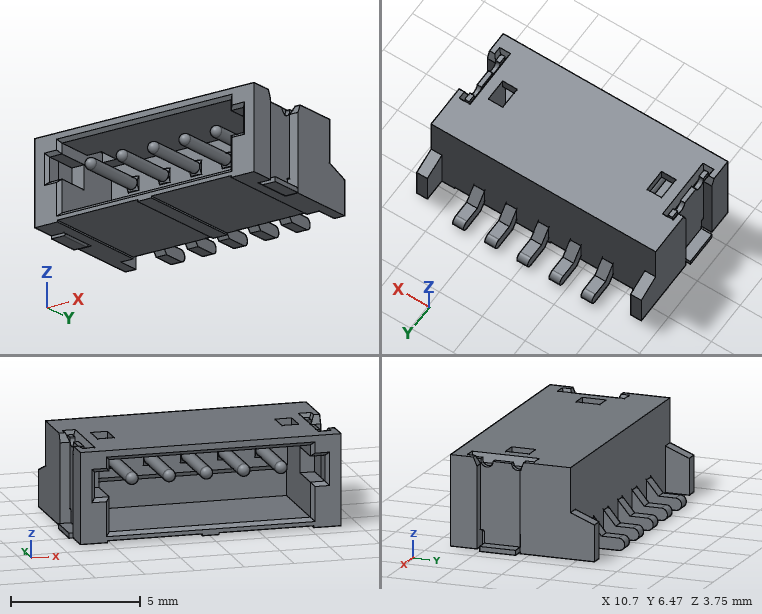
import cadquery as cq
import math


HOUSING_WIDTH = 10.5
HOUSING_TOP = 3.75
HOUSING_BOTTOM = 0.05
BODY_DEPTH = 5.0
EAR_BACK = 6.0
EAR_WIDTH = 0.5
EAR_TOP_FRONT = 1.94
EAR_TOP_BACK = 1.54
RELIEF_TOP = 0.13
RELIEF_HALF_WIDTH = 4.16
CENTER_FOOT_WIDTH = 0.66

MOUTH_CHAMFER = 0.15
CAVITY_HALF_WIDTH = 4.05
CAVITY_TOP = 3.34
CAVITY_FLOOR = 0.45
CAVITY_DEPTH = 3.43
UNDERCUT_TOP = 1.71
UNDERCUT_SLOPE_BOTTOM = 1.54
UNDERCUT_DEPTH = CAVITY_DEPTH + 0.12
KEY_HALF_WIDTH = 4.64
KEY_TOP = 2.89
KEY_BOTTOM = 1.85
KEY_DEPTH = 1.62

WINDOW_WIDTH = 0.67
WINDOW_LENGTH = 1.0
WINDOW_CENTER_Y = 2.31

TAB_TIP_X = 5.35
TAB_INNER_X = 4.65
TAB_THICKNESS = 0.2
TAB_CENTER_Y = 2.0
TAB_WIDTH = 2.5
TAB_FOOT_WIDTH = 1.5
TAB_STEP_Z = 0.73
TAB_STEP_FILLET = 0.07
TAB_SHOULDER_TOP = 3.6
TAB_CENTER_TOP = 3.53
TAB_BEND_RADIUS = 0.13
NOTCH_RADIUS = 0.252
NOTCH_OFFSET = 0.64

SLOT_NECK_WIDTH = 1.8
LEAD_IN_WIDTH = 0.15
LEAD_IN_DEPTH = 0.35

PIN_COUNT = 5
PIN_PITCH = 1.5
PIN_AXIS_Z = 2.4
PIN_TIP_Y = 0.39
PIN_NOSE_DIAMETER = 0.49
PIN_TAPER_LENGTH = 0.11
PIN_WIDTH = 0.5
PIN_SHANK_HEIGHT = 0.6
TAIL_THICKNESS = 0.5
TAIL_END_Y = 6.47
TAIL_BEND_Y = 5.5
TAIL_SLOPE = math.radians(50)


def box(x_range, y_range, z_range):
    """Axis-aligned block between the given limits."""
    ranges = (x_range, y_range, z_range)
    sizes = [high - low for low, high in ranges]
    corner = tuple(low for low, high in ranges)
    return cq.Workplane("XY").box(*sizes, centered=False).translate(corner)


def side_prism(points, x_range):
    """Closed (y, z) outline extruded along X between two limits."""
    low, high = x_range
    return cq.Workplane("YZ", origin=(low, 0, 0)).polyline(points).close().extrude(high - low)


def with_mirror(shape):
    """A cutter or rib on the +X side together with its twin on the -X side."""
    return shape.union(shape.mirror("YZ"))



def make_pin_nose(x):
    """Domed round pin that tapers out to the rectangular shank at the back wall."""
    radius = PIN_NOSE_DIAMETER / 2
    shank_corner_radius = math.hypot(PIN_WIDTH / 2, PIN_SHANK_HEIGHT / 2)
    dome_middle = radius * math.sqrt(0.5)
    dome_center_y = PIN_TIP_Y + radius
    turned = (
        cq.Workplane("XY")
        .moveTo(0, PIN_TIP_Y)
        .threePointArc((dome_middle, dome_center_y - dome_middle), (radius, dome_center_y))
        .lineTo(radius, CAVITY_DEPTH - PIN_TAPER_LENGTH)
        .lineTo(shank_corner_radius, CAVITY_DEPTH)
        .lineTo(0, CAVITY_DEPTH)
        .close()
        .revolve(360, (0, 0, 0), (0, 1, 0))
    )
    shank_section = box(
        (-PIN_WIDTH / 2, PIN_WIDTH / 2),
        (0, CAVITY_DEPTH),
        (-PIN_SHANK_HEIGHT / 2, PIN_SHANK_HEIGHT / 2),
    )
    return turned.intersect(shank_section).translate((x, 0, PIN_AXIS_Z))


def make_pin_strip(x):
    """Shank through the back wall, sloping down to a round-ended solder tail."""
    shank_top = PIN_AXIS_Z + PIN_SHANK_HEIGHT / 2
    shank_bottom = PIN_AXIS_Z - PIN_SHANK_HEIGHT / 2
    end_radius = TAIL_THICKNESS / 2
    run_per_rise = 1 / math.tan(TAIL_SLOPE)
    lower_bend_y = TAIL_BEND_Y - TAIL_THICKNESS * math.tan(TAIL_SLOPE / 2)
    return (
        cq.Workplane("YZ", origin=(x - PIN_WIDTH / 2, 0, 0))
        .moveTo(TAIL_END_Y - end_radius, 0)
        .threePointArc((TAIL_END_Y, end_radius), (TAIL_END_Y - end_radius, TAIL_THICKNESS))
        .lineTo(TAIL_BEND_Y, TAIL_THICKNESS)
        .lineTo(TAIL_BEND_Y - (shank_top - TAIL_THICKNESS) * run_per_rise, shank_top)
        .lineTo(CAVITY_DEPTH, shank_top)
        .lineTo(CAVITY_DEPTH, shank_bottom)
        .lineTo(lower_bend_y - shank_bottom * run_per_rise, shank_bottom)
        .lineTo(lower_bend_y, 0)
        .close()
        .extrude(PIN_WIDTH)
    )


def make_pin(x):
    return make_pin_strip(x).union(make_pin_nose(x))



def make_tab_plate():
    """Upright plate with a narrower leg, centered on Y = 0."""
    half_foot = TAB_FOOT_WIDTH / 2
    half_width = TAB_WIDTH / 2
    plate_x = (TAB_INNER_X, TAB_INNER_X + TAB_THICKNESS)
    wide = box(plate_x, (-half_width, half_width), (TAB_STEP_Z, TAB_SHOULDER_TOP))
    leg = box(plate_x, (-half_foot, half_foot), (0, TAB_STEP_Z))
    near_steps = cq.selectors.BoxSelector(
        (0, -half_foot - TAB_STEP_FILLET, TAB_STEP_Z - TAB_STEP_FILLET),
        (TAB_TIP_X, half_foot + TAB_STEP_FILLET, TAB_STEP_Z + TAB_STEP_FILLET),
    )
    return wide.union(leg).edges(near_steps).edges("|X").fillet(TAB_STEP_FILLET)


def make_notches():
    """Lowered middle of the plate top and a round-bottomed notch at each end of it."""
    across = (0, TAB_TIP_X)
    half_span = NOTCH_OFFSET + NOTCH_RADIUS
    cutter = box(across, (-half_span, half_span), (TAB_CENTER_TOP, HOUSING_TOP))
    for y in (-NOTCH_OFFSET, NOTCH_OFFSET):
        cutter = cutter.union(
            cq.Workplane("YZ").center(y, TAB_CENTER_TOP).circle(NOTCH_RADIUS).extrude(TAB_TIP_X)
        )
    return cutter


def make_right_tab():
    """L-shaped tab on the +X side: upright plate and outward solder foot."""
    half_foot = TAB_FOOT_WIDTH / 2
    foot = box((TAB_INNER_X, TAB_TIP_X), (-half_foot, half_foot), (0, TAB_THICKNESS))
    tab = make_tab_plate().union(foot).cut(make_notches())
    tab = tab.edges("|Y and <X and <Z").fillet(TAB_BEND_RADIUS)
    return tab.translate((0, TAB_CENTER_Y, 0))



def make_block():
    """Main block with a sloped ear at the back of each side."""
    half = HOUSING_WIDTH / 2
    block = box((-half, half), (0, BODY_DEPTH), (HOUSING_BOTTOM, HOUSING_TOP))
    ear = side_prism(
        [
            (BODY_DEPTH, HOUSING_BOTTOM),
            (EAR_BACK, HOUSING_BOTTOM),
            (EAR_BACK, EAR_TOP_BACK),
            (BODY_DEPTH, EAR_TOP_FRONT),
        ],
        (half - EAR_WIDTH, half),
    )
    return block.union(ear).union(ear.mirror("YZ"))


def make_underside_reliefs():
    """Shallow recesses that leave the side feet and the center foot."""
    return with_mirror(
        box((CENTER_FOOT_WIDTH / 2, RELIEF_HALF_WIDTH), (0, BODY_DEPTH), (HOUSING_BOTTOM, RELIEF_TOP))
    )


def make_pocket(half_width, bottom, top, depth):
    """Rectangular pocket from the mating face with a 45 degree chamfer around its mouth."""
    height = top - bottom
    pocket = box((-half_width, half_width), (0, depth), (bottom, top))
    mouth = (
        cq.Workplane("XZ", origin=(0, 0, (top + bottom) / 2))
        .rect(2 * (half_width + MOUTH_CHAMFER), height + 2 * MOUTH_CHAMFER)
        .workplane(offset=-MOUTH_CHAMFER)
        .rect(2 * half_width, height)
        .loft(ruled=True)
    )
    return pocket.union(mouth)


def make_cavity():
    """Mating cavity with a key groove on each side and an undercut low in its back wall."""
    main = make_pocket(CAVITY_HALF_WIDTH, CAVITY_FLOOR, CAVITY_TOP, CAVITY_DEPTH)
    keys = make_pocket(KEY_HALF_WIDTH, KEY_BOTTOM, KEY_TOP, KEY_DEPTH)
    undercut = side_prism(
        [
            (CAVITY_DEPTH, CAVITY_FLOOR),
            (UNDERCUT_DEPTH, CAVITY_FLOOR),
            (UNDERCUT_DEPTH, UNDERCUT_SLOPE_BOTTOM),
            (CAVITY_DEPTH, UNDERCUT_TOP),
        ],
        (-CAVITY_HALF_WIDTH, CAVITY_HALF_WIDTH),
    )
    return main.union(keys).union(undercut)


def make_windows():
    """Rectangular openings from the roof down into the cavity."""
    half_length = WINDOW_LENGTH / 2
    return with_mirror(
        box(
            (CAVITY_HALF_WIDTH - WINDOW_WIDTH, CAVITY_HALF_WIDTH),
            (WINDOW_CENTER_Y - half_length, WINDOW_CENTER_Y + half_length),
            (CAVITY_TOP, HOUSING_TOP),
        )
    )


def t_outline(clearance):
    """T-shaped (x, y) outline, grown by clearance and open past the outer side."""
    inner = TAB_INNER_X - clearance
    lip = TAB_INNER_X + TAB_THICKNESS + clearance
    outer = TAB_TIP_X + clearance
    neck = SLOT_NECK_WIDTH / 2 + clearance
    bar = TAB_WIDTH / 2 + clearance
    half = [(outer, neck), (lip, neck), (lip, bar), (inner, bar)]
    return half + [(x, -y) for x, y in reversed(half)]


def make_tab_slots():
    """T slots down to the tab step, a plain neck below it and a tapered lead-in at the top."""
    half_neck = SLOT_NECK_WIDTH / 2
    shaft = (
        cq.Workplane("XY", origin=(0, 0, TAB_STEP_Z))
        .polyline(t_outline(0))
        .close()
        .extrude(HOUSING_TOP - TAB_STEP_Z)
    )
    neck = box((TAB_INNER_X, TAB_TIP_X), (-half_neck, half_neck), (0, TAB_STEP_Z))
    lead_in = (
        cq.Workplane("XY", origin=(0, 0, HOUSING_TOP - LEAD_IN_DEPTH))
        .polyline(t_outline(0))
        .close()
        .workplane(offset=LEAD_IN_DEPTH)
        .polyline(t_outline(LEAD_IN_WIDTH))
        .close()
        .loft(ruled=True)
    )
    slot = shaft.union(neck).union(lead_in)
    return with_mirror(slot.translate((0, TAB_CENTER_Y, 0)))


def make_housing():
    """Block with all its openings and a close-fitting passage for every pin."""
    housing = make_block().cut(make_underside_reliefs()).cut(make_cavity())
    housing = housing.cut(make_windows()).cut(make_tab_slots())
    for x in pin_positions:
        housing = housing.cut(make_pin_strip(x))
    return housing


pin_positions = [PIN_PITCH * (i - (PIN_COUNT - 1) / 2) for i in range(PIN_COUNT)]
housing = make_housing()
pins = [make_pin(x) for x in pin_positions]
right_tab = make_right_tab()
left_tab = right_tab.mirror("YZ")

bodies = [housing, *pins, right_tab, left_tab]

result = cq.Compound.makeCompound([body.solids().val() for body in bodies])